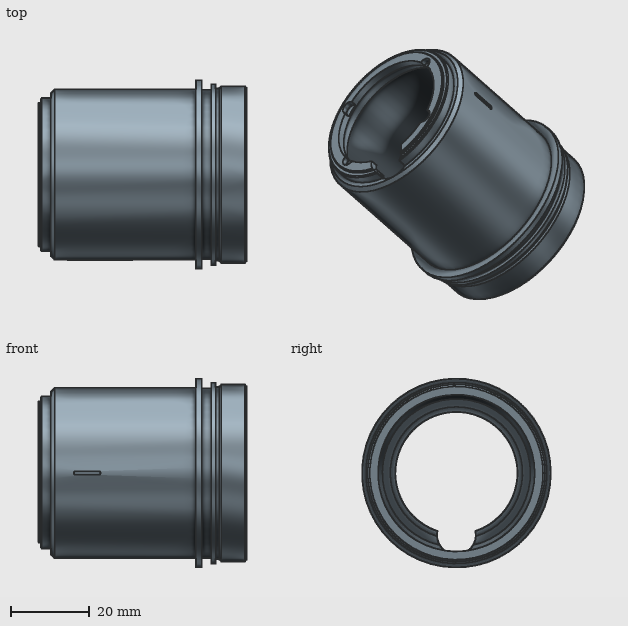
import cadquery as cq
import math

total_length = 52.9

lip_length = 0.6
lip_radius = 18.3
lip_chamfer = 0.2
nose_end = 3.2
nose_radius = 19.5
nose_chamfer = 0.3

body_radius = 21.7
body_chamfer = 1.0
groove_radius = 21.6
flange_start = 40.0
flange_width = 1.5
flange_radius = 24.0
ring_start = 43.9
ring_width = 1.1
ring_radius = 23.0
neck_radius = 21.9
head_start = 46.0
head_radius = 22.5
head_chamfer = 0.5

throat_radius = 15.5
throat_depth = 2.0
step_radius = 16.8
front_wall = 5.0
bore_radius = 19.9
bore_chamfer = 1.1

keyway_radius = 4.9
keyway_centre_z = -15.8
keyway_end = flange_start

pocket_radius = 1.75
pocket_depth = 1.5
pocket_angle = 37.0

mark_start = 9.0
mark_length = 6.8
mark_width = 1.0
mark_depth = 0.5


def cylinder(radius, start, end):
    """Solid cylinder on the X axis between two X positions."""
    return cq.Workplane("YZ").workplane(offset=start).circle(radius).extrude(end - start)


def make_outside():
    """Solid of stepped cylinders with chamfered edges."""
    lip = cylinder(lip_radius, 0, lip_length).faces("<X").chamfer(lip_chamfer)
    nose = cylinder(nose_radius, lip_length, nose_end).faces("<X").chamfer(nose_chamfer)
    body = cylinder(body_radius, nose_end, flange_start).faces("<X").chamfer(body_chamfer)
    flange = cylinder(flange_radius, flange_start, flange_start + flange_width)
    groove = cylinder(groove_radius, flange_start + flange_width, ring_start)
    ring = cylinder(ring_radius, ring_start, ring_start + ring_width)
    neck = cylinder(neck_radius, ring_start + ring_width, head_start)
    head = cylinder(head_radius, head_start, total_length).edges().chamfer(head_chamfer)
    outside = lip
    for section in (nose, body, flange, groove, ring, neck, head):
        outside = outside.union(section)
    return outside


def make_bore():
    """Narrow throat, a wider step behind it and the main bore open at the rear."""
    throat = cylinder(throat_radius, 0, throat_depth)
    step = cylinder(step_radius, throat_depth, front_wall)
    main = cylinder(bore_radius, front_wall, total_length).faces("<X").chamfer(bore_chamfer)
    return throat.union(step).union(main)


def make_keyway():
    """Round channel parallel to the axis that bites into the throat and the bore."""
    return cylinder(keyway_radius, 0, keyway_end).translate((0, 0, keyway_centre_z))


def make_pockets():
    """Round pockets centred on the throat edge, mirrored about both cross axes."""
    across = throat_radius * math.cos(math.radians(pocket_angle))
    up = throat_radius * math.sin(math.radians(pocket_angle))
    centres = [(side * across, level * up) for side in (-1, 1) for level in (-1, 1)]
    return cq.Workplane("YZ").pushPoints(centres).circle(pocket_radius).extrude(pocket_depth)


def make_mark():
    """Round-ended groove along X in the outer surface of the body."""
    return (
        cq.Workplane("XZ", origin=(mark_start + mark_length / 2, -body_radius + mark_depth, 0))
        .slot2D(mark_length, mark_width)
        .extrude(2 * mark_depth)
    )


result = make_outside()
for cutter in (make_bore(), make_keyway(), make_pockets(), make_mark()):
    result = result.cut(cutter)